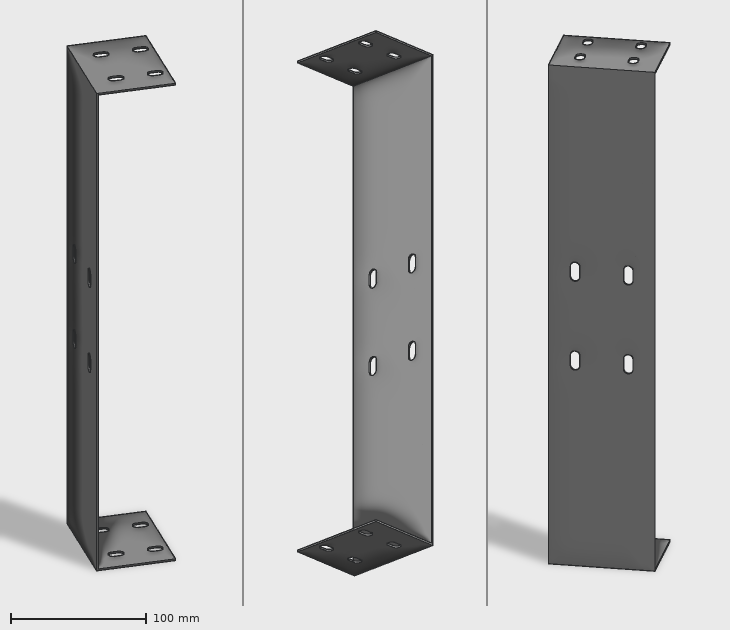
import cadquery as cq

height = 396.7
width = 80.0
depth = 60.7
thickness = 1.5

slot_width = 7.0
slot_pitch_x = 40.0
web_slot_length = 15.0
web_slot_pitch = 70.5
flange_slot_length = 12.0
flange_slot_pitch = 30.0
flange_edge_margin = 10.0


def slot_cutter(plane, length, pitch, reach):
    """Four slots in a two-by-two pattern, extruded both ways from the plane."""
    return (
        cq.Workplane(plane)
        .rarray(slot_pitch_x, pitch, 2, 2)
        .slot2D(length, slot_width, 90)
        .extrude(reach, both=True)
    )


channel = cq.Workplane("XY").box(width, depth, height).translate((0, depth / 2, 0))
inside = (
    cq.Workplane("XY")
    .box(width, depth, height - 2 * thickness)
    .translate((0, depth / 2 + thickness, 0))
)

web_slots = slot_cutter("XZ", web_slot_length, web_slot_pitch, depth)

flange_slot_center_y = depth - flange_edge_margin - flange_slot_pitch / 2
flange_slots = slot_cutter("XY", flange_slot_length, flange_slot_pitch, height).translate(
    (0, flange_slot_center_y, 0)
)

result = channel.cut(inside).cut(web_slots).cut(flange_slots)